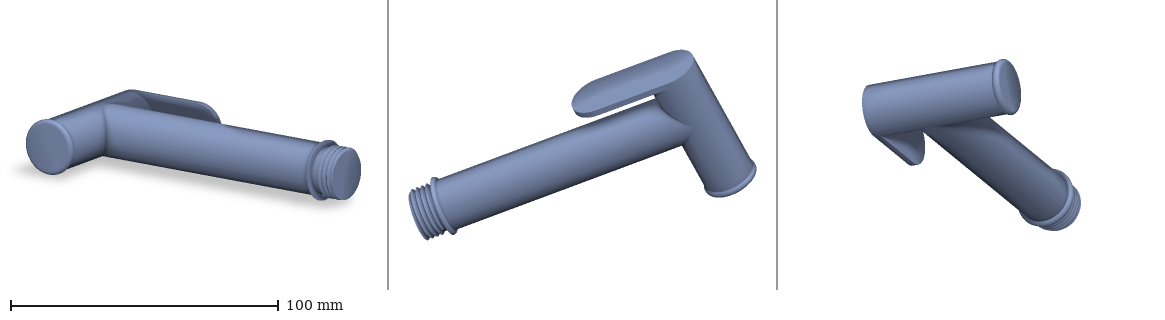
import cadquery as cq
import math

tube_radius = 10.0
head_front = -31.0
lever_thickness = 2.5
head_back = 20.0
lever_reach = 30.0

cap_radius = 10.6
rim_radius = 1.5
cap_thickness = 2 * rim_radius
spray_hole_diameter = 0.5
spray_hole_depth = 1.5
spray_rings = [(3.0, 8), (5.9, 16)]

joint_x = 25.0
flange_radius = 11.5
flange_round = flange_radius - tube_radius
flange_end = 103.0
handle_end = 113.0
neck_radius = 9.0

thread_radius = 10.0
thread_pitch = 2.0
thread_base_width = 1.6
thread_start_x = 105.0
thread_start_angle = -115.0
thread_overrun = 1.2
thread_root_overlap = 0.1


def cylinder_along_y(radius, start, end):
    return cq.Workplane("XZ", origin=(0, start, 0)).circle(radius).extrude(start - end)


def make_head():
    """Tee of two equal tubes; the side branch ends where the handle begins."""
    barrel = cylinder_along_y(tube_radius, head_front, head_back)
    branch = cq.Workplane("YZ").circle(tube_radius).extrude(joint_x)
    return barrel.union(branch)


def make_lever():
    """Flat lever with round ends, closing the back of the head."""
    return (
        cq.Workplane("XZ", origin=(0, head_back, 0))
        .center(lever_reach / 2, 0)
        .slot2D(lever_reach + 2 * tube_radius, 2 * tube_radius)
        .extrude(-lever_thickness)
    )


def make_spray_cap():
    """Disc with a half-round rim and two rings of blind spray holes."""
    face_radius = cap_radius - rim_radius
    cap_front = head_front - cap_thickness
    cap = (
        cq.Workplane("XY")
        .moveTo(0, head_front)
        .lineTo(face_radius, head_front)
        .threePointArc((cap_radius, head_front - rim_radius), (face_radius, cap_front))
        .lineTo(0, cap_front)
        .close()
        .revolve(360, (0, 0, 0), (0, 1, 0))
    )
    for ring_radius, hole_count in spray_rings:
        holes = (
            cq.Workplane("XZ", origin=(0, cap_front, 0))
            .polarArray(ring_radius, 0, 360, hole_count)
            .circle(spray_hole_diameter / 2)
            .extrude(-spray_hole_depth)
        )
        cap = cap.cut(holes)
    return cap


def make_thread():
    """Triangular ridge swept along a helix, trimmed flush with the handle end."""
    thread_length = handle_end + thread_overrun - thread_start_x
    root_radius = neck_radius - thread_root_overlap
    path = cq.Wire.makeHelix(thread_pitch, thread_length, root_radius)
    ridge = (
        cq.Workplane("XZ")
        .moveTo(root_radius, -thread_base_width / 2)
        .lineTo(thread_radius, 0)
        .lineTo(root_radius, thread_base_width / 2)
        .close()
        .sweep(cq.Workplane(path), isFrenet=True)
    )
    ridge = (
        ridge.rotate((0, 0, 0), (0, 1, 0), 90)
        .rotate((0, 0, 0), (1, 0, 0), thread_start_angle + 90)
        .translate((thread_start_x, 0, 0))
    )
    trim_length = thread_pitch + thread_overrun
    trim = cq.Workplane("YZ", origin=(handle_end, 0, 0)).circle(2 * thread_radius).extrude(trim_length)
    return ridge.cut(trim)


def make_handle():
    """Round grip, rounded flange and threaded neck."""
    flange_start = flange_end - flange_round
    arc_offset = flange_round * (1 - math.sqrt(0.5))
    body = (
        cq.Workplane("XY")
        .moveTo(joint_x, 0)
        .lineTo(joint_x, -tube_radius)
        .lineTo(flange_start, -tube_radius)
        .threePointArc(
            (flange_start + arc_offset, arc_offset - flange_radius),
            (flange_end, -flange_radius),
        )
        .lineTo(flange_end, -neck_radius)
        .lineTo(handle_end, -neck_radius)
        .lineTo(handle_end, 0)
        .close()
        .revolve(360, (0, 0, 0), (1, 0, 0))
    )
    return body.union(make_thread())


head = make_head()
lever = make_lever()
spray_cap = make_spray_cap()
handle = make_handle()

result = cq.Compound.makeCompound([head.val(), lever.val(), spray_cap.val(), handle.val()])